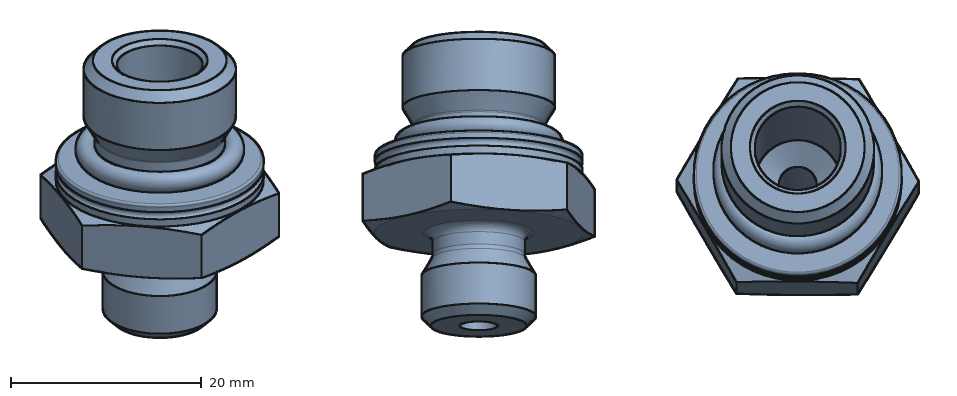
import cadquery as cq
import math

total_height = 30.0
hex_bottom = 10.0
hex_top = 16.0
flange_top = 18.5
upper_thread_bottom = 23.5
lower_thread_top = 5.4

across_flats = 22.0
hex_chamfer_angle = math.radians(15)

flange_radius = 21.8 / 2
upper_thread_radius = 16.0 / 2
upper_neck_radius = 13.7 / 2
lower_thread_radius = 12.0 / 2
lower_neck_radius = 9.7 / 2
thread_chamfer = 1.0
runout_angle = math.radians(30)
upper_runout_fillet = 0.3
lower_runout_fillet = 1.0
hex_neck_fillet = 1.0

rim_fillet = 0.27
groove_bottom = 16.83
groove_top = 17.67
groove_depth = 0.27

ring_outer_radius = 17.7 / 2
ring_section_radius = 2.2 / 2
ring_center_radius = ring_outer_radius - ring_section_radius
ring_height = flange_top + ring_section_radius

bore_radius = 9.0 / 2
bore_mouth_chamfer = 0.5
bore_floor = 15.0
passage_radius = 4.0 / 2
drill_half_angle = math.radians(59)


def revolve_profile(profile):
    """Turn a closed (radius, height) outline once around the Z axis."""
    return profile.close().revolve(360, (0, 0, 0), (0, 1, 0))


def make_hexagon():
    """Hexagon with corners on the Y axis, turned conically at both ends."""
    corner_radius = across_flats / 2 / math.cos(math.pi / 6)
    hexagon = (
        cq.Workplane("XY", origin=(0, 0, hex_bottom))
        .polygon(6, 2 * corner_radius)
        .extrude(hex_top - hex_bottom)
        .rotate((0, 0, 0), (0, 0, 1), 30)
    )
    chamfer_drop = (corner_radius - flange_radius) * math.tan(hex_chamfer_angle)
    turned_envelope = revolve_profile(
        cq.Workplane("XZ")
        .moveTo(0, hex_bottom)
        .lineTo(flange_radius, hex_bottom)
        .lineTo(corner_radius, hex_bottom + chamfer_drop)
        .lineTo(corner_radius, hex_top - chamfer_drop)
        .lineTo(flange_radius, hex_top)
        .lineTo(0, hex_top)
    )
    return hexagon.intersect(turned_envelope)


def make_lower_stud():
    """Lower thread, its conical runout and the neck that flares into the hexagon."""
    cone_height = (lower_thread_radius - lower_neck_radius) / math.tan(runout_angle)
    cone_top = lower_thread_top + cone_height
    blend = lower_runout_fillet * math.tan(runout_angle / 2)
    flare_start = hex_bottom - hex_neck_fillet
    return revolve_profile(
        cq.Workplane("XZ")
        .moveTo(0, 0)
        .lineTo(lower_thread_radius - thread_chamfer, 0)
        .lineTo(lower_thread_radius, thread_chamfer)
        .lineTo(lower_thread_radius, lower_thread_top)
        .lineTo(
            lower_neck_radius + blend * math.sin(runout_angle),
            cone_top - blend * math.cos(runout_angle),
        )
        .radiusArc((lower_neck_radius, cone_top + blend), lower_runout_fillet)
        .lineTo(lower_neck_radius, flare_start)
        .radiusArc((lower_neck_radius + hex_neck_fillet, hex_bottom), hex_neck_fillet)
        .lineTo(0, hex_bottom)
    )


def make_flange():
    """Round flange with a rounded rim and a shallow round-bottomed groove."""
    return revolve_profile(
        cq.Workplane("XZ")
        .moveTo(0, hex_top)
        .lineTo(flange_radius, hex_top)
        .lineTo(flange_radius, groove_bottom)
        .threePointArc(
            (flange_radius - groove_depth, (groove_bottom + groove_top) / 2),
            (flange_radius, groove_top),
        )
        .lineTo(flange_radius, flange_top - rim_fillet)
        .radiusArc((flange_radius - rim_fillet, flange_top), -rim_fillet)
        .lineTo(0, flange_top)
    )


def make_upper_stud():
    """Upper neck with its O-ring seat, conical runout and upper thread."""
    seat_half_height = math.sqrt(
        ring_section_radius**2 - (ring_center_radius - upper_neck_radius) ** 2
    )
    cone_height = (upper_thread_radius - upper_neck_radius) / math.tan(runout_angle)
    cone_bottom = upper_thread_bottom - cone_height
    blend = upper_runout_fillet * math.tan(runout_angle / 2)
    return revolve_profile(
        cq.Workplane("XZ")
        .moveTo(0, flange_top)
        .lineTo(upper_neck_radius, flange_top)
        .lineTo(upper_neck_radius, ring_height - seat_half_height)
        .threePointArc(
            (ring_center_radius - ring_section_radius, ring_height),
            (upper_neck_radius, ring_height + seat_half_height),
        )
        .lineTo(upper_neck_radius, cone_bottom - blend)
        .radiusArc(
            (
                upper_neck_radius + blend * math.sin(runout_angle),
                cone_bottom + blend * math.cos(runout_angle),
            ),
            upper_runout_fillet,
        )
        .lineTo(upper_thread_radius, upper_thread_bottom)
        .lineTo(upper_thread_radius, total_height - thread_chamfer)
        .lineTo(upper_thread_radius - thread_chamfer, total_height)
        .lineTo(0, total_height)
    )


def make_bore():
    """Chamfered upper bore that tapers into a narrow passage through the part."""
    taper_height = (bore_radius - passage_radius) / math.tan(drill_half_angle)
    return revolve_profile(
        cq.Workplane("XZ")
        .moveTo(0, 0)
        .lineTo(passage_radius, 0)
        .lineTo(passage_radius, bore_floor - taper_height)
        .lineTo(bore_radius, bore_floor)
        .lineTo(bore_radius, total_height - bore_mouth_chamfer)
        .lineTo(bore_radius + bore_mouth_chamfer, total_height)
        .lineTo(0, total_height)
    )


def make_fitting():
    """Hexagonal screw-in fitting, made as one solid."""
    return (
        make_hexagon()
        .union(make_lower_stud())
        .union(make_flange())
        .union(make_upper_stud())
        .cut(make_bore())
    )


def make_o_ring():
    """Round-section sealing ring."""
    section = cq.Workplane("XZ").center(ring_center_radius, ring_height).circle(ring_section_radius)
    return section.revolve(360, (-ring_center_radius, 0, 0), (-ring_center_radius, 1, 0))


fitting = make_fitting()
o_ring = make_o_ring()

result = cq.Compound.makeCompound([fitting.val(), o_ring.val()])